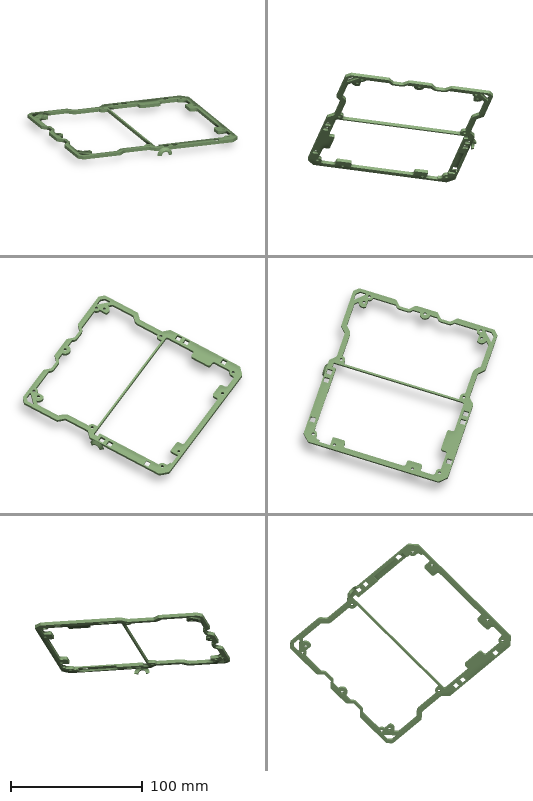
import cadquery as cq
import math

frame_length = 130.0
lug_length = 2.0
frame_width = 117.0 - lug_length
thickness = 2.5
total_height = 6.2

half_width = frame_width / 2
half_length = frame_length / 2
rail = 4.0
bend_tangent = math.tan(math.radians(45 / 2))
rail_shift = rail * bend_tangent

top_chamfer = 5.5
bottom_chamfer = 3.5
waist_depth = 4.5
waist_top = -2.7
waist_bottom = -31.8
bend_radius = 1.5
bend_setback = bend_radius * bend_tangent

notch_x = 16.5
notch_depth = 4.3
notch_flat_half = 3.0
notch_wall = 2.1
bump_radius = 4.0

upper_side = 50.5
upper_top = half_length - rail
bar_top = -1.8
bar_bottom = -3.2
corner_radius = 1.5
pad_radius = 3.0
pad_fillet = 2.0
top_hole_y = 57.8
tab_bottom = 55.5
left_tab = (-36.0, -24.0)
right_tab = (25.2, 35.5)
tab_end_radius = 1.0
recess_right = 44.5
recess_top = 62.5
side_tab = (22.9, 39.9)
side_tab_x = -45.4
step_side = 53.4
step_top = 1.8

undercut_y = (22.2, 52.0)
undercut_side = 55.5
undercut_skin = 1.0

waist_side = half_width - waist_depth - rail
lower_side = half_width - rail
lower_bottom = -half_length + rail
middle_hole_y = -6.0
boss_radius = 4.0
corner_boss = (46.9, -55.4)
foot_boss_x = 44.5
window_inset = 2.5
window_leg = 8.2
window_chamfer = 2.7
window_tip_radius = 0.5

hole_diameter = 2.2
tab_holes = [(-29.9, 61.2), (32.4, 61.2)]
square_side = 4.0
square_x = 54.5
square_ys = [46.9, 13.3, 6.2]

lug_y = 4.0
lug_base_radius = 6.0
lug_tip_radius = lug_base_radius - lug_length
lug_bore_radius = 3.0

shortest_edge = 1.3e-06


def outline(corners):
    """Closed wire through (x, y) or (x, y, radius) corners; a radius rounds its corner."""
    arcs = []
    for i, corner in enumerate(corners):
        point = cq.Vector(corner[0], corner[1])
        radius = corner[2] if len(corner) == 3 else 0
        before = cq.Vector(*corners[i - 1][:2]) - point
        after = cq.Vector(*corners[(i + 1) % len(corners)][:2]) - point
        if radius == 0:
            arcs.append((point, point, point))
            continue
        half_angle = before.getAngle(after) / 2
        setback = radius / math.tan(half_angle)
        bisector = (before.normalized() + after.normalized()).normalized()
        to_middle = radius / math.sin(half_angle) - radius
        arcs.append((
            point + before.normalized() * setback,
            point + bisector * to_middle,
            point + after.normalized() * setback,
        ))
    edges = []
    for i, (start, middle, end) in enumerate(arcs):
        previous_end = arcs[i - 1][2]
        if (start - previous_end).Length > shortest_edge:
            edges.append(cq.Edge.makeLine(previous_end, start))
        if (end - start).Length > shortest_edge:
            edges.append(cq.Edge.makeThreePointArc(start, middle, end))
    return cq.Wire.assembleEdges(edges)


def plate(corners):
    """Solid of full frame thickness with the given outline, top at Z = 0."""
    return cq.Workplane(cq.Solid.extrudeLinear(outline(corners), [], cq.Vector(0, 0, -thickness)))


def both_sides(left_corners):
    """Complete a left half outline with its mirror image in the YZ plane."""
    mirrored = [(-corner[0], *corner[1:]) for corner in reversed(left_corners)]
    return left_corners + mirrored


def disc(x, y, radius):
    return cq.Workplane("XY").center(x, y).circle(radius).extrude(-thickness)


def block(x_range, y_range):
    (x0, x1), (y0, y1) = x_range, y_range
    return plate([(x0, y0), (x1, y0), (x1, y1), (x0, y1)])


def outer_plate():
    waist_x = half_width - waist_depth
    return plate(both_sides([
        (-half_width + top_chamfer, half_length, bend_radius),
        (-half_width, half_length - top_chamfer, bend_radius),
        (-half_width, waist_top, bend_radius),
        (-waist_x, waist_top - waist_depth, bend_radius),
        (-waist_x, waist_bottom + waist_depth, bend_radius),
        (-half_width, waist_bottom, bend_radius),
        (-half_width, -half_length + bottom_chamfer, bend_radius),
        (-half_width + bottom_chamfer, -half_length, bend_radius),
    ]))


def upper_opening():
    pad_x = upper_side - pad_radius
    pad_y = top_hole_y - pad_radius
    return plate([
        (-upper_side, bar_top, corner_radius),
        (-upper_side, side_tab[0], corner_radius),
        (side_tab_x, side_tab[0], corner_radius),
        (side_tab_x, side_tab[1], corner_radius),
        (-upper_side, side_tab[1], corner_radius),
        (-upper_side, pad_y),
        (-pad_x, pad_y, pad_radius),
        (-pad_x, upper_top, pad_fillet),
        (left_tab[0], upper_top, corner_radius),
        (left_tab[0], tab_bottom, corner_radius),
        (left_tab[1], tab_bottom, corner_radius),
        (left_tab[1], upper_top, corner_radius),
        (right_tab[0], upper_top, corner_radius),
        (right_tab[0], tab_bottom, corner_radius),
        (right_tab[1], tab_bottom, tab_end_radius),
        (right_tab[1], recess_top),
        (recess_right, recess_top),
        (recess_right, upper_top),
        (pad_x, upper_top, pad_fillet),
        (pad_x, pad_y, pad_radius),
        (upper_side, pad_y),
        (upper_side, step_top),
        (step_side, step_top),
        (step_side, bar_top),
    ])


def lower_opening():
    pad_x = waist_side - pad_radius
    pad_y = middle_hole_y - pad_radius
    lower_side_top = waist_bottom - rail_shift
    return plate(both_sides([
        (-pad_x, bar_bottom),
        (-pad_x, pad_y, pad_radius),
        (-waist_side, pad_y),
        (-waist_side, lower_side_top + waist_depth, bend_radius + rail),
        (-lower_side, lower_side_top),
        (-lower_side, lower_bottom),
    ]))


def left_bump():
    """Raised stretch of the bottom rail, rounded at both ends, over the notch."""
    half_span = notch_flat_half + bump_radius
    top = -half_length + notch_depth + notch_wall
    return plate([
        (-notch_x - half_span, top - bump_radius),
        (-notch_x - half_span, top, bump_radius),
        (-notch_x + half_span, top, bump_radius),
        (-notch_x + half_span, top - bump_radius),
    ])


def left_notch():
    """Trapezoid notch with 45 degree flanks and rounded corners, open at the bottom edge."""
    top = -half_length + notch_depth
    top_half = notch_flat_half + bend_setback
    foot_half = top_half + notch_depth
    mouth_half = foot_half + bend_setback
    below = -half_length - bend_radius
    return plate([
        (-notch_x - mouth_half, below),
        (-notch_x - mouth_half, -half_length),
        (-notch_x - foot_half, -half_length, bend_radius),
        (-notch_x - top_half, top, bend_radius),
        (-notch_x + top_half, top, bend_radius),
        (-notch_x + foot_half, -half_length, bend_radius),
        (-notch_x + mouth_half, -half_length),
        (-notch_x + mouth_half, below),
    ])


def left_corner_bosses():
    """Gusset and two screw bosses in the lower left corner."""
    boss_x, boss_y = -corner_boss[0], corner_boss[1]
    foot_x = -foot_boss_x
    gusset_leg = lower_side - foot_boss_x
    gusset = plate([
        (-lower_side, lower_bottom),
        (foot_x, lower_bottom),
        (-lower_side, lower_bottom + gusset_leg),
    ])
    trim = block((boss_x - boss_radius, foot_x), (lower_bottom, boss_y + boss_radius))
    boss = disc(boss_x, boss_y, boss_radius).intersect(trim)
    web = block((boss_x, foot_x), (lower_bottom, boss_y))
    foot = disc(foot_x, lower_bottom, pad_radius)
    return gusset.union(boss).union(web).union(foot)


def left_corner_window():
    x = -half_width + window_inset
    y = -half_length + window_inset
    return plate([
        (x, y + window_chamfer),
        (x + window_chamfer, y),
        (x + window_leg, y, window_tip_radius),
        (x, y + window_leg, window_tip_radius),
    ])


def with_mirror(solid):
    return solid.union(solid.mirror("YZ"))


def screw_holes():
    side_holes = [
        (upper_side, top_hole_y),
        (waist_side, middle_hole_y),
        corner_boss,
        (foot_boss_x, lower_bottom),
    ]
    points = both_sides(side_holes) + tab_holes + [(0, lower_bottom)]
    return cq.Workplane("XY").pushPoints(points).circle(hole_diameter / 2).extrude(-thickness)


def square_windows():
    points = [(side * square_x, y) for side in (-1, 1) for y in square_ys]
    return cq.Workplane("XY").pushPoints(points).rect(square_side, square_side).extrude(-thickness)


def undercut():
    """Cutter for the space below the thin skin, reaching past the bottom face."""
    inner_part = block((upper_side, undercut_side), undercut_y)
    return inner_part.translate((0, 0, -undercut_skin))


def lug():
    """Half cone with a half-round bore, standing on the +X edge with its axis at the lowest level."""
    base = cq.Vector(half_width, lug_y, -total_height)
    along_x = cq.Vector(1, 0, 0)
    cone = cq.Solid.makeCone(lug_base_radius, lug_tip_radius, lug_length, base, along_x)
    bore = cq.Solid.makeCylinder(lug_bore_radius, lug_length, base, along_x)
    upper_half = cq.Workplane("XY").box(
        lug_length, 2 * lug_base_radius, lug_base_radius, centered=(False, True, False)
    ).translate(base)
    return cq.Workplane(cone).cut(cq.Workplane(bore)).intersect(upper_half)


frame = outer_plate().cut(upper_opening()).cut(lower_opening())
frame = frame.union(with_mirror(left_bump())).cut(with_mirror(left_notch()))
frame = frame.union(with_mirror(left_corner_bosses())).union(disc(0, lower_bottom, boss_radius))
frame = frame.cut(with_mirror(left_corner_window())).cut(screw_holes()).cut(square_windows())
frame = frame.cut(undercut())
result = frame.union(lug())